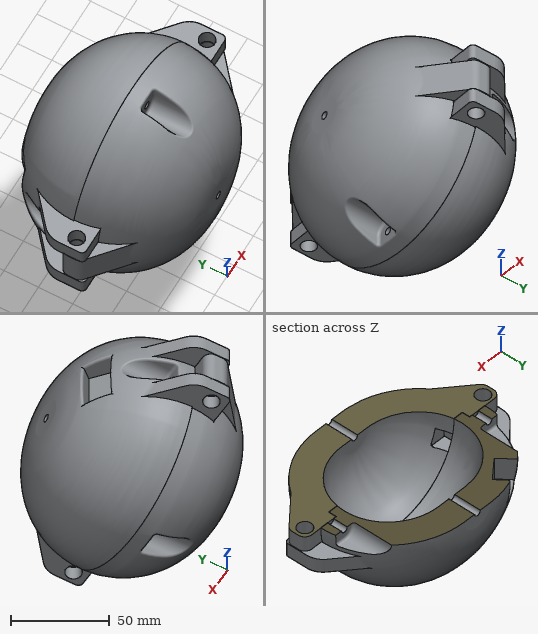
import cadquery as cq
import math


case_height = 124.1
case_depth = 101.7
disc_radius = 10.0
dome_reach = case_height / 2 - disc_radius
dome_depth = case_depth / 2
wall = 17.7
lip_radius = 50.2
lip_length = 5.0
centre_hole_radius = 2.0

ear_reach = 73.8
ear_root = 46.5
ear_slope = math.radians(40)
pivot_x = 67.1
pivot_y = -6.3
pivot_hole_radius = 4.4
tongue_half_width = 9.6
tongue_nose_radius = 4.9
tongue_flat_end = -9.0
tongue_bend_radius = 5.3
prong_inner = 10.0
prong_outer = 18.9
prong_front = -14.3
prong_corner_radius = 2.7
prong_flat_end = 0.7
prong_bend_radius = 12.5
prong_clearance = 0.6
notch_root = 36.9
ear_blend_radius = 3.7

pocket_radius = 14.0 / 2
pocket_axis = 54.6
pocket_end = 9.3
pocket_length = 36.9
pocket_height = 14.8
pocket_fillet = 1.6
pocket_hole_radius = 2.0

recess_angle = 39.0
recess_floor = 45.7
recess_shift = -1.0
recess_length = 15.6
recess_width = 28.0
recess_height = 22.1

rim_fillet = 1.2

slope_tolerance = 0.001


def dome(offset, side):
    """Solid half dome inside the outer surface by `offset`; `side` is -1 for front, 1 for rear."""
    reach = dome_reach - offset
    depth = dome_depth - offset
    arc = cq.Edge.makeEllipse(reach, depth, cq.Vector(disc_radius, 0, 0), cq.Vector(0, 0, 1),
                              cq.Vector(1, 0, 0), 0, 90)
    corners = [(disc_radius, depth), (0, depth), (0, 0), (disc_radius + reach, 0)]
    corners = [cq.Vector(x, y, 0) for x, y in corners]
    sides = [cq.Edge.makeLine(a, b) for a, b in zip(corners, corners[1:])]
    profile = cq.Wire.assembleEdges([arc, *sides])
    half = cq.Solid.revolve(profile, [], 360, cq.Vector(0, 0, 0), cq.Vector(0, 1, 0))
    if side < 0:
        half = half.mirror("XZ")
    return cq.Workplane(half)


def cavity():
    return dome(wall, -1).union(dome(wall, 1))


def lip():
    return cq.Workplane("XZ").circle(lip_radius).extrude(lip_length)


def centre_hole():
    return cq.Workplane("XZ").circle(centre_hole_radius).extrude(dome_depth, both=True)


def on_both_sides(part):
    return part.union(part.mirror("YZ"))


def bend(radius):
    """Mid point and end point of a bend, measured inward and along Y from its start."""
    turn = math.pi / 2 - ear_slope
    return [(radius * (1 - math.cos(a)), radius * math.sin(a)) for a in (turn / 2, turn)]


def tongues():
    nose_x = ear_reach - tongue_nose_radius
    half_nose = tongue_nose_radius * math.sqrt(0.5)
    (mid_x, mid_y), (end_x, end_y) = bend(tongue_bend_radius)
    bend_x = ear_reach - end_x
    bend_y = tongue_flat_end - end_y
    root_y = bend_y - (bend_x - ear_root) * math.tan(ear_slope)
    tongue = (
        cq.Workplane("XY", origin=(0, 0, -tongue_half_width))
        .moveTo(ear_root, 0)
        .lineTo(nose_x, 0)
        .threePointArc((nose_x + half_nose, half_nose - tongue_nose_radius), (ear_reach, -tongue_nose_radius))
        .lineTo(ear_reach, tongue_flat_end)
        .threePointArc((ear_reach - mid_x, tongue_flat_end - mid_y), (bend_x, bend_y))
        .lineTo(ear_root, root_y)
        .close()
        .extrude(2 * tongue_half_width)
    )
    return on_both_sides(tongue)


def prongs():
    (mid_x, mid_y), (end_x, end_y) = bend(prong_bend_radius)
    bend_x = ear_reach - end_x
    bend_y = prong_flat_end + end_y
    root_y = bend_y + (bend_x - ear_root) * math.tan(ear_slope)
    prong = (
        cq.Workplane("XY", origin=(0, 0, prong_inner))
        .moveTo(ear_root, prong_front)
        .lineTo(ear_reach, prong_front)
        .lineTo(ear_reach, prong_flat_end)
        .threePointArc((ear_reach - mid_x, prong_flat_end + mid_y), (bend_x, bend_y))
        .lineTo(ear_root, root_y)
        .close()
        .extrude(prong_outer - prong_inner)
        .edges("|Z and >X and <Y")
        .fillet(prong_corner_radius)
    )
    return on_both_sides(prong.union(prong.mirror("XY")))


def prong_notches():
    """Openings through the front shell that the prongs pass into."""
    depth = -prong_front
    height = prong_outer + prong_clearance - tongue_half_width
    length = ear_reach - notch_root
    notch = cq.Workplane("XY").box(length, depth, height, centered=False)
    notch = notch.translate((notch_root, -depth, tongue_half_width))
    return on_both_sides(notch.union(notch.mirror("XY")))


def pivot_holes():
    return (
        cq.Workplane("XY")
        .pushPoints([(pivot_x, pivot_y), (-pivot_x, pivot_y)])
        .circle(pivot_hole_radius)
        .extrude(prong_outer, both=True)
    )


def pocket():
    """Cutter for the front pocket at +Z; its end wall faces -Y."""
    return (
        cq.Workplane("XZ", origin=(0, -pocket_end, pocket_axis))
        .moveTo(-pocket_radius, pocket_height)
        .lineTo(-pocket_radius, 0)
        .threePointArc((0, -pocket_radius), (pocket_radius, 0))
        .lineTo(pocket_radius, pocket_height)
        .close()
        .extrude(pocket_length)
        .faces(">Y")
        .edges("not >Z")
        .fillet(pocket_fillet)
    )


def pocket_hole():
    return (
        cq.Workplane("XZ", origin=(0, 0, pocket_axis)).circle(pocket_hole_radius).extrude(2 * pocket_end)
    )


def recess():
    """Cutter for the rear recess, which faces out between -X and +Y."""
    box = cq.Workplane("XY").box(recess_length, recess_height, recess_width, centered=(True, False, True))
    return box.translate((recess_shift, recess_floor, 0)).rotate((0, 0, 0), (0, 0, 1), recess_angle)


def outer_surface(shell):
    return max(shell.faces().vals(), key=lambda face: face.Area())


def round_opening_rims(shell):
    """Round every opening that lies wholly inside the domed outer surface."""
    rims = [edge for wire in outer_surface(shell).innerWires() for edge in wire.Edges()]
    return cq.Workplane(shell.val().fillet(rim_fillet, rims))


def blend_ears(shell):
    """Blend the sloping back of each ear into the domed outer surface."""
    dome_edges = outer_surface(shell).Edges()
    slope_edges = [
        edge
        for face in shell.faces("%PLANE").vals()
        if abs(abs(face.normalAt().y) - math.cos(ear_slope)) < slope_tolerance
        for edge in face.Edges()
    ]
    meeting = [edge for edge in dome_edges if any(edge.isSame(other) for other in slope_edges)]
    return cq.Workplane(shell.val().fillet(ear_blend_radius, meeting))


def front_shell():
    body = blend_ears(dome(0, -1).union(tongues()))
    for angle in (0, 180):
        body = body.cut(pocket().rotate((0, 0, 0), (0, 1, 0), angle))
    body = round_opening_rims(body)
    for angle in (0, 180):
        body = body.cut(pocket_hole().rotate((0, 0, 0), (0, 1, 0), angle))
    return body.cut(prong_notches()).cut(cavity()).cut(lip()).cut(centre_hole()).cut(pivot_holes())


def rear_shell():
    body = blend_ears(dome(0, 1).union(prongs()))
    rear_pocket = pocket().mirror("XZ")
    rear_hole = pocket_hole().mirror("XZ")
    for angle in (90, -90):
        body = body.cut(rear_pocket.rotate((0, 0, 0), (0, 1, 0), angle))
    body = round_opening_rims(body.cut(recess()))
    for angle in (90, -90):
        body = body.cut(rear_hole.rotate((0, 0, 0), (0, 1, 0), angle))
    return body.union(lip()).cut(cavity()).cut(centre_hole()).cut(pivot_holes())


front = front_shell()
rear = rear_shell()
result = cq.Compound.makeCompound([front.solids().val(), rear.solids().val()])